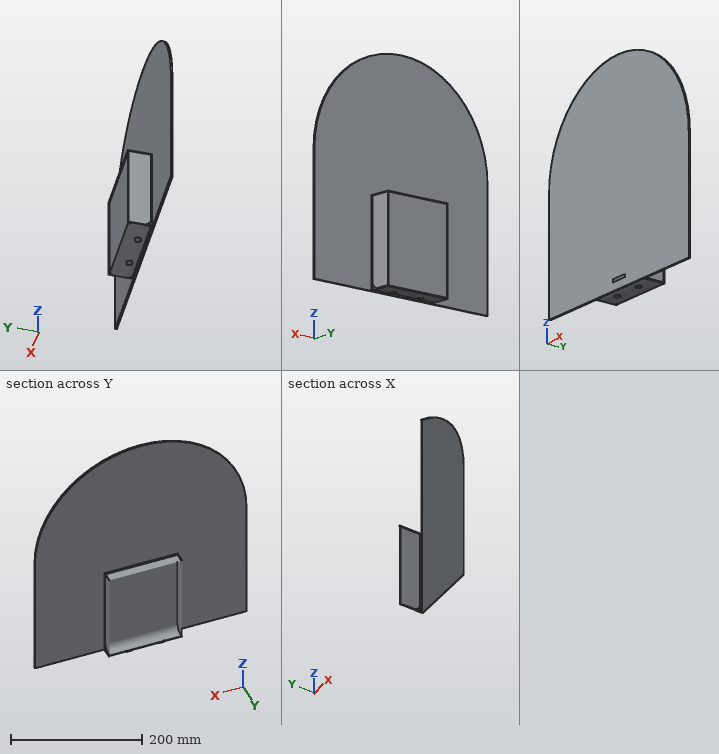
import cadquery as cq

PLATE_WIDTH = 350.0
PLATE_THICKNESS = 3.0
TOTAL_HEIGHT = 381.0
FOOT_HEIGHT = 1.0
ARCH_RADIUS = PLATE_WIDTH / 2
PLATE_HEIGHT = TOTAL_HEIGHT - FOOT_HEIGHT
ARCH_CENTRE_Z = PLATE_HEIGHT - ARCH_RADIUS

TAB_WIDTH = 30.0
TAB_HEIGHT = 5.0
TAB_BOTTOM_Z = 14.5

TOTAL_DEPTH = 42.0
HOLDER_WIDTH = 121.0
HOLDER_HEIGHT = 150.0
WALL_THICKNESS = 1.0
BACK_THICKNESS = 1.0
BACK_RECESS = 1.0
BACK_REAR_Y = TOTAL_DEPTH - BACK_RECESS
BACK_FRONT_Y = BACK_REAR_Y - BACK_THICKNESS
INNER_WIDTH = HOLDER_WIDTH - 2 * WALL_THICKNESS
INNER_TOP_Z = HOLDER_HEIGHT - WALL_THICKNESS

SHEET_THICKNESS = 2.3
BEND_INNER_RADIUS = 11.0
BEND_OUTER_RADIUS = 10.0
SHEET_CORNER_RADIUS = 3.5

FOOT_DIAMETER = 10.0
FOOT_SPACING = 53.0
FOOT_CENTRE_Y = 17.5


def make_block(width, y_front, y_rear, z_bottom, z_top):
    """Block centred on X between the given Y and Z limits."""
    block = cq.Workplane("XY").box(width, y_rear - y_front, z_top - z_bottom, centered=(True, False, False))
    return block.translate((0, y_front, z_bottom))


def make_tab():
    return make_block(TAB_WIDTH, 0, PLATE_THICKNESS, TAB_BOTTOM_Z, TAB_BOTTOM_Z + TAB_HEIGHT)


def make_plate():
    outline = (
        cq.Workplane("XZ")
        .moveTo(-ARCH_RADIUS, 0)
        .lineTo(ARCH_RADIUS, 0)
        .lineTo(ARCH_RADIUS, ARCH_CENTRE_Z)
        .threePointArc((0, PLATE_HEIGHT), (-ARCH_RADIUS, ARCH_CENTRE_Z))
        .close()
    )
    plate = outline.extrude(-PLATE_THICKNESS)
    return plate.cut(make_tab())


def make_bent_sheet():
    """L-shaped sheet with a rounded bend and rounded free corners."""
    sheet = make_block(INNER_WIDTH, PLATE_THICKNESS, BACK_FRONT_Y, 0, INNER_TOP_Z)
    sheet = sheet.edges("|X and <Y and <Z").fillet(BEND_OUTER_RADIUS)
    pocket = make_block(
        INNER_WIDTH, PLATE_THICKNESS + SHEET_THICKNESS, BACK_FRONT_Y, SHEET_THICKNESS, INNER_TOP_Z
    )
    pocket = pocket.edges("|X and <Y and <Z").fillet(BEND_INNER_RADIUS)
    sheet = sheet.cut(pocket)
    sheet = sheet.faces(">Z").edges("|Y").fillet(SHEET_CORNER_RADIUS)
    return sheet.faces(">Y").edges("|Z").fillet(SHEET_CORNER_RADIUS)


def make_cover():
    """Top wall, two side walls and a back wall set in from the rear edges, open at the front and bottom."""
    cover = make_block(HOLDER_WIDTH, PLATE_THICKNESS, TOTAL_DEPTH, 0, HOLDER_HEIGHT)
    cavity = make_block(INNER_WIDTH, PLATE_THICKNESS, BACK_FRONT_Y, 0, INNER_TOP_Z)
    rear_recess = make_block(INNER_WIDTH, BACK_REAR_Y, TOTAL_DEPTH, 0, INNER_TOP_Z)
    return cover.cut(cavity).cut(rear_recess)


def make_feet():
    return (
        cq.Workplane("XY")
        .pushPoints([(-FOOT_SPACING / 2, FOOT_CENTRE_Y), (FOOT_SPACING / 2, FOOT_CENTRE_Y)])
        .circle(FOOT_DIAMETER / 2)
        .extrude(-FOOT_HEIGHT)
    )


def make_holder():
    return make_cover().union(make_bent_sheet()).union(make_tab()).union(make_feet())


plate = make_plate()
holder = make_holder()

result = cq.Compound.makeCompound([plate.val(), holder.val()])